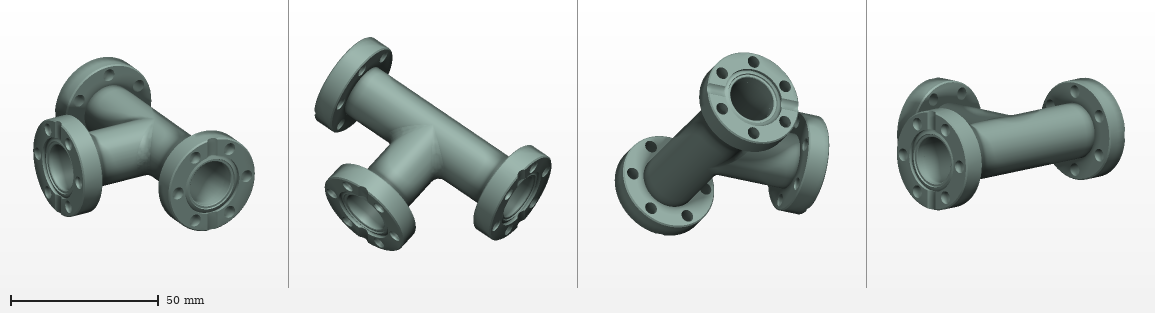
import cadquery as cq

PORT_REACH = 38.0
TUBE_DIAMETER = 19.0
TUBE_BORE = 16.0
CROTCH_RADIUS = 3.3

FLANGE_DIAMETER = 34.0
FLANGE_THICKNESS = 7.6
RIM_CHAMFER = 0.45
BOLT_CIRCLE = 27.0
BOLT_HOLE_DIAMETER = 4.3
BOLT_COUNT = 6

GROOVE_WIDTH = 3.95
GROOVE_DEPTH = 0.9
GROOVE_RADIUS = ((GROOVE_WIDTH / 2) ** 2 + GROOVE_DEPTH ** 2) / (2 * GROOVE_DEPTH)

RECESS_DIAMETER = 21.3
RECESS_DEPTH = 1.2
KNIFE_DIAMETER = 18.3
KNIFE_DEPTH = 0.6
KNIFE_INNER_DIAMETER = 17.9
LEDGE_DEPTH = 1.1
BORE_MOUTH_DIAMETER = 16.5
BORE_CHAMFER = (BORE_MOUTH_DIAMETER - TUBE_BORE) / 2
TUBE_END_DEPTH = 4.8

INSERT_BACK_DEPTH = 5.7
RING_BORE = 19.1

RECESS_RADIUS = RECESS_DIAMETER / 2
FLANGE_RADIUS = FLANGE_DIAMETER / 2
TUBE_RADIUS = TUBE_DIAMETER / 2
TUBE_LENGTH = PORT_REACH - TUBE_END_DEPTH


def cylinder(diameter, top, bottom):
    """Cylinder about Z between two depths below the flange face."""
    return cq.Workplane("XY").workplane(offset=-bottom).circle(diameter / 2).extrude(bottom - top)


def seal_hub(back_depth):
    """Revolved knife-edge hub with a socket for the end of the tube."""
    return (
        cq.Workplane("XZ")
        .moveTo(RECESS_RADIUS, -RECESS_DEPTH)
        .lineTo(KNIFE_DIAMETER / 2, -KNIFE_DEPTH)
        .lineTo(KNIFE_INNER_DIAMETER / 2, -LEDGE_DEPTH)
        .lineTo(BORE_MOUTH_DIAMETER / 2, -LEDGE_DEPTH)
        .lineTo(TUBE_BORE / 2, -LEDGE_DEPTH - BORE_CHAMFER)
        .lineTo(TUBE_BORE / 2, -TUBE_END_DEPTH)
        .lineTo(TUBE_RADIUS, -TUBE_END_DEPTH)
        .lineTo(TUBE_RADIUS, -back_depth)
        .lineTo(RECESS_RADIUS, -back_depth)
        .close()
        .revolve(360, (0, 0, 0), (0, 1, 0))
    )


def flange_blank():
    """Chamfered disc with bolt holes and a groove along local Y."""
    blank = cylinder(FLANGE_DIAMETER, 0, FLANGE_THICKNESS).edges().chamfer(RIM_CHAMFER)
    bolt_holes = (
        cq.Workplane("XY")
        .polarArray(BOLT_CIRCLE / 2, 0, 360, BOLT_COUNT)
        .circle(BOLT_HOLE_DIAMETER / 2)
        .extrude(-FLANGE_THICKNESS)
    )
    groove = (
        cq.Workplane("XZ")
        .center(0, GROOVE_RADIUS - GROOVE_DEPTH)
        .circle(GROOVE_RADIUS)
        .extrude(FLANGE_RADIUS, both=True)
    )
    return blank.cut(bolt_holes).cut(groove)


def fixed_flange():
    """One-piece flange with its own knife edge."""
    rim = flange_blank().cut(cylinder(RECESS_DIAMETER, 0, FLANGE_THICKNESS))
    return rim.union(seal_hub(FLANGE_THICKNESS))


def rotatable_ring():
    """Bolt ring, stepped inside to trap the insert against its rear shoulder."""
    pocket = cylinder(RECESS_DIAMETER, 0, INSERT_BACK_DEPTH)
    tube_clearance = cylinder(RING_BORE, 0, FLANGE_THICKNESS)
    return flange_blank().cut(pocket).cut(tube_clearance)


def knife_insert():
    """Knife-edge hub that sits inside a rotatable ring."""
    return seal_hub(INSERT_BACK_DEPTH)


def place_on_port(body, direction, groove_angle):
    """Turn a flange part so that it faces along direction, with its groove at groove_angle from Z."""
    local_x = cq.Vector(0, 0, 1).cross(cq.Vector(*direction))
    face = cq.Plane(
        origin=tuple(PORT_REACH * component for component in direction),
        xDir=local_x.toTuple(),
        normal=direction,
    )
    turned = body.rotate((0, 0, 0), (0, 0, 1), groove_angle)
    return turned.val().moved(cq.Location(face))


def make_tee():
    """Equal tee of round tube, blended at the two crotches and bored through."""
    run = cq.Workplane("YZ").circle(TUBE_RADIUS).extrude(TUBE_LENGTH, both=True)
    branch = cq.Workplane("XZ").circle(TUBE_RADIUS).extrude(TUBE_LENGTH)
    outside = run.union(branch).edges("%ELLIPSE").fillet(CROTCH_RADIUS)
    run_bore = cq.Workplane("YZ").circle(TUBE_BORE / 2).extrude(TUBE_LENGTH, both=True)
    branch_bore = cq.Workplane("XZ").circle(TUBE_BORE / 2).extrude(TUBE_LENGTH)
    return outside.cut(run_bore).cut(branch_bore)


tee = make_tee()
branch_flange = place_on_port(fixed_flange(), (0, -1, 0), 0)

run_ports = [((-1, 0, 0), 90), ((1, 0, 0), 0)]
rings = [place_on_port(rotatable_ring(), direction, angle) for direction, angle in run_ports]
inserts = [place_on_port(knife_insert(), direction, angle) for direction, angle in run_ports]

result = cq.Compound.makeCompound([tee.val(), branch_flange, *rings, *inserts])